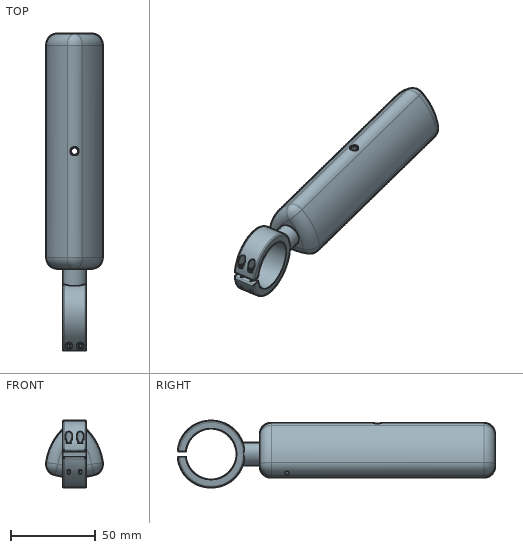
import cadquery as cq

handle_length = 140.0
handle_width = 34.0
nose_top = 18.7
corner_radius = 7.0
end_radius = 6.99
flank_radius = 34.5
bottom_radius = 44.0
lower_corner_z = -5.8

cross_hole_diameter = 4.13
cross_hole_chamfer = 0.5
pin_hole_diameter = 2.0
pin_hole_y = 16.3
pin_hole_z = -11.2

ring_outer_radius = 20.0
ring_inner_radius = 15.0
ring_width = 14.0
ring_edge_radius = 1.0
ring_center_y = -28.77
slot_height = 3.0
neck_diameter = ring_width

screw_spacing = 6.8
screw_offset = 16.9
screw_y = ring_center_y - screw_offset
screw_head_diameter = 4.13
screw_clearance_diameter = 2.0
screw_thread_diameter = 1.57
screw_head_seat_z = 6.3


def x_cylinder(diameter, length, y, z):
    """Cylinder along X, centered on X = 0; its seam line faces -Y."""
    plane = cq.Plane(origin=(-length / 2, y, z), xDir=(0, -1, 0), normal=(1, 0, 0))
    return cq.Workplane(plane).circle(diameter / 2).extrude(length)


def z_cylinder(diameter, x, y, bottom, top):
    """Cylinder along Z between two heights."""
    return cq.Workplane("XY", origin=(x, y, bottom)).circle(diameter / 2).extrude(top - bottom)


def make_handle():
    """Bulging triangle on the corner centers, grown by the corner radius, with rounded ends."""
    corner_x = handle_width / 2 - corner_radius
    nose = (0, nose_top - corner_radius)
    left = (-corner_x, lower_corner_z)
    right = (corner_x, lower_corner_z)
    inner_flank = flank_radius - corner_radius
    inner_bottom = bottom_radius - corner_radius
    bar = (
        cq.Workplane("XZ")
        .moveTo(*nose)
        .radiusArc(right, inner_flank)
        .radiusArc(left, inner_bottom)
        .radiusArc(nose, inner_flank)
        .close()
        .offset2D(corner_radius, "arc")
        .extrude(-handle_length)
    )
    return bar.faces("<Y or >Y").edges().fillet(end_radius)


def make_neck():
    """Round bar from inside the handle to the middle of the ring wall."""
    back = end_radius
    front = ring_center_y + (ring_outer_radius + ring_inner_radius) / 2
    return (
        cq.Workplane("XZ", origin=(0, back, 0))
        .circle(neck_diameter / 2)
        .extrude(back - front)
    )


def make_ring():
    """Ring slotted on the side away from the handle, its outer face rounded along every edge."""
    slot = cq.Workplane("XY", origin=(0, ring_center_y - ring_outer_radius, 0)).box(
        ring_width, 2 * ring_outer_radius, slot_height
    )
    ring = (
        x_cylinder(2 * ring_outer_radius, ring_width, ring_center_y, 0)
        .cut(x_cylinder(2 * ring_inner_radius, ring_width, ring_center_y, 0))
        .cut(slot)
    )
    outer_arcs = cq.selectors.RadiusNthSelector(-1)
    slot_edges = cq.selectors.StringSyntaxSelector("<Y")
    return ring.edges(outer_arcs + slot_edges).fillet(ring_edge_radius)


def make_screw_hole(x):
    """Head recess and clearance hole above the slot, thread hole below it."""
    head = z_cylinder(screw_head_diameter, x, screw_y, screw_head_seat_z, ring_outer_radius)
    clearance = z_cylinder(screw_clearance_diameter, x, screw_y, 0, screw_head_seat_z)
    thread = z_cylinder(screw_thread_diameter, x, screw_y, -ring_outer_radius, 0)
    return head.union(clearance).union(thread)


def cut_cross_hole(handle):
    """Vertical hole through the middle of the handle, its rim on the nose chamfered."""
    middle = handle_length / 2
    hole = z_cylinder(cross_hole_diameter, 0, middle, -handle_width, handle_width)
    upper_rim = cq.selectors.BoxSelector(
        (-cross_hole_diameter, middle - cross_hole_diameter, 0),
        (cross_hole_diameter, middle + cross_hole_diameter, handle_width),
        boundingbox=True,
    )
    return handle.cut(hole).edges(upper_rim).chamfer(cross_hole_chamfer)


def make_pin_hole():
    """Sideways through hole near the front end of the handle."""
    return x_cylinder(pin_hole_diameter, 2 * handle_width, pin_hole_y, pin_hole_z)


result = cut_cross_hole(make_handle()).union(make_neck()).union(make_ring())
for side in (-1, 1):
    result = result.cut(make_screw_hole(side * screw_spacing / 2))
result = result.cut(make_pin_hole())